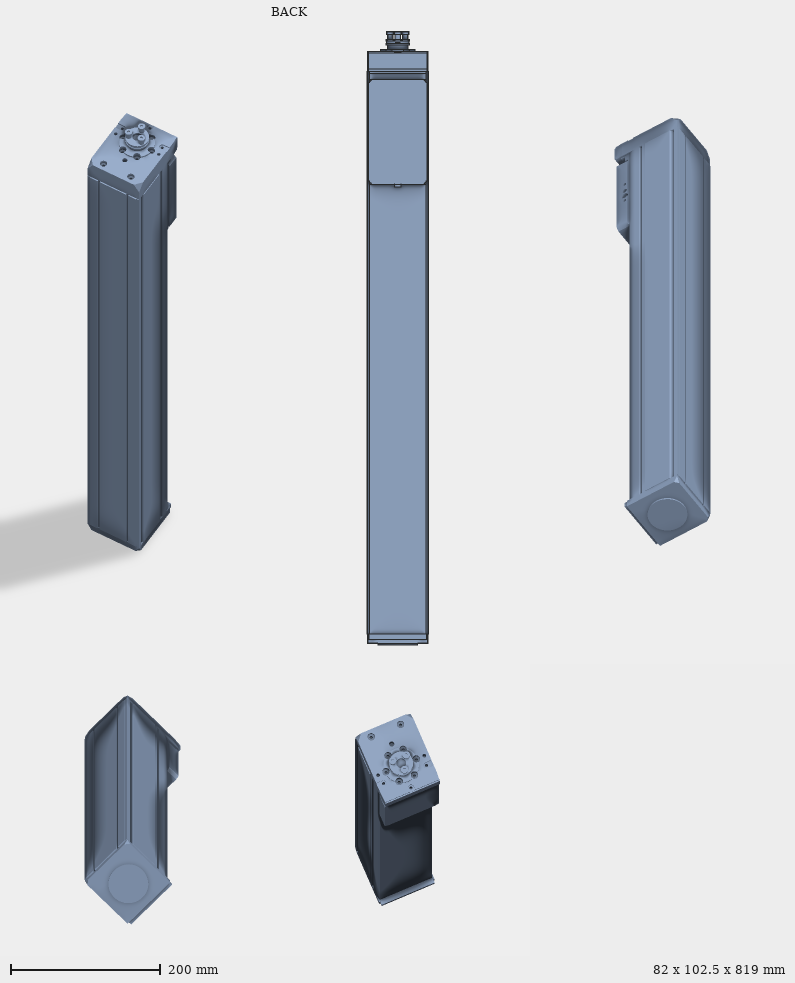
import cadquery as cq
import math

TOTAL_WIDTH = 82.0
TOTAL_DEPTH = 102.5
TOTAL_HEIGHT = 819.0
HALF_WIDTH = TOTAL_WIDTH / 2

FOOT_PAD_HEIGHT = 2.5
PROFILE_BOTTOM = 15.0
PROFILE_TOP = 766.0
CAP_TOP = 793.0
PROFILE_HEIGHT = PROFILE_TOP - PROFILE_BOTTOM
CAP_HEIGHT = CAP_TOP - PROFILE_TOP

CAP_INSET = 1.0
CAP_HALF_WIDTH = HALF_WIDTH - CAP_INSET
CAP_FRONT_Y = 2.0
TOP_CORNER_CUT = (8.0, 10.0, 11.5)
BOTTOM_CORNER_CUT = (6.0, 5.0, 10.0)

PROFILE_DEPTH = 79.5
REAR_CURVE_DEPTH = 10.0
REAR_CURVE_ANGLE = math.radians(30)
SIDE_SLOT_Y = 60.0
SIDE_SLOT_WIDTH = 5.0
SIDE_SLOT_DEPTH = 4.0
PANEL_FRONT_Y = 13.0
PANEL_BACK_Y = 52.5
SIDE_RECESS = 1.0
NOTCH_FRONT_Y = 6.5
NOTCH_BOTTOM_Y = 8.0
NOTCH_DEPTH = 4.0
FRONT_GROOVE_X = 22.0
FRONT_GROOVE_WIDTH = 3.0
FRONT_GROOVE_DEPTH = 2.5
FRONT_EDGE_X = 36.0
FRONT_EDGE_STEP = 1.0

COVER_THICKNESS = 2.0
CAP_DEPTH = TOTAL_DEPTH - COVER_THICKNESS
CAP_TAPER_Y = 89.0
CAP_TAPER = 1.0
CAP_LIP_BOTTOM = 764.0
CAP_LIP_BACK_Y = 93.0
COVER_BOTTOM = 769.5
COVER_TOP = 791.0
FRONT_SCREW_X = 21.0
FRONT_SCREW_Y = 11.5
SCREW_HEAD_DIAMETER = 10.0
SCREW_HOLE_DIAMETER = 4.0
SCREW_HEAD_DEPTH = 5.0
SCREW_HOLE_DEPTH = 12.0
CENTRE_HOLE_Y = 31.0
CENTRE_HOLE_DIAMETER = 7.0
SIDE_HOLE_X = 34.0
SIDE_HOLE_DIAMETER = 5.0
POCKET_WIDTH = 8.0
POCKET_DEPTH = 2.0
SIDE_POCKET_Y = 76.0
SIDE_POCKET_LENGTH = 13.0
BACK_POCKET_LENGTH = 9.0

CONNECTOR_Y = 63.0
FLANGE_DIAMETER = 47.5
FLANGE_TOP = 796.0
NECK_DIAMETER = 28.0
COLLAR_BOTTOM = 801.0
COLLAR_TOP = 809.0
COLLAR_DIAMETER = 32.0
COLLAR_GROOVE_WIDTH = 3.0
COLLAR_GROOVE_DEPTH = 1.0
BORE_DIAMETER = 13.0
BORE_DEPTH = 4.0
FLANGE_SCREW_COUNT = 6
FLANGE_SCREW_RADIUS = 22.0

PIN_COUNT = 3
PIN_CIRCLE_RADIUS = 11.5
PIN_HEAD_DIAMETER = 10.0
PIN_HEAD_HEIGHT = 4.0
PIN_SHANK_DIAMETER = 7.0
PIN_SEAT_DEPTH = 4.0
PIN_SOCKET_DIAMETER = 4.0
PIN_SOCKET_DEPTH = 2.5

LUG_BACK_Y = 87.0
LUG_BOTTOM = 7.0
LUG_WIDTH = 77.0
BOTTOM_CAP_BACK_Y = 82.0
FOOT_PAD_Y = 43.5
FOOT_PAD_DIAMETER = 53.0

BOX_WIDTH = 79.0
BOX_FRONT_Y = 82.0
BOX_BACK_Y = 99.0
BOX_BOTTOM = 615.0
BOX_TOP = 755.5
BOX_CHAMFER = 5.0
BOX_BASE_WIDTH = 75.0
BOX_TONGUE_BACK_Y = 87.0
BOX_HOLE_Y = 86.0
BOX_HOLE_DEPTH = 3.0
BOX_HOLES = [(703.0, 5.0), (689.0, 7.0), (678.5, 9.0), (669.0, 5.0)]
PLUG_Y = 91.0
PLUG_DIAMETER = 9.0
PLUG_LENGTH = 3.0
PLUG_SEAT_DEPTH = 4.0


def block(x_size, y_front, y_back, z_bottom, z_top):
    """Box centred on X between the given Y and Z limits."""
    return (
        cq.Workplane("XY")
        .box(x_size, y_back - y_front, z_top - z_bottom, centered=(True, False, False))
        .translate((0, y_front, z_bottom))
    )


def cylinder(diameter, x, y, z_bottom, z_top):
    """Upright round bar."""
    return (
        cq.Workplane("XY")
        .center(x, y)
        .circle(diameter / 2)
        .extrude(z_top - z_bottom)
        .translate((0, 0, z_bottom))
    )


def circle_points(radius, count, start_angle):
    """Evenly spaced points around the connector axis."""
    points = []
    for index in range(count):
        angle = math.radians(start_angle + index * 360 / count)
        points.append((radius * math.cos(angle), CONNECTOR_Y + radius * math.sin(angle)))
    return points


def screw_hole(x, y):
    """Counterbored screw hole sunk from the top of the cap."""
    head = cylinder(SCREW_HEAD_DIAMETER, x, y, CAP_TOP - SCREW_HEAD_DEPTH, CAP_TOP)
    shank = cylinder(SCREW_HOLE_DIAMETER, x, y, CAP_TOP - SCREW_HOLE_DEPTH, CAP_TOP)
    return head.union(shank)


def corner_wedge(side, z_corner, z_direction, cut_size):
    """Tetrahedron that cuts the front corner of a cap on one side."""
    cut_x, cut_y, cut_z = cut_size
    corner = cq.Vector(side * CAP_HALF_WIDTH, CAP_FRONT_Y, z_corner)
    along_x = corner + cq.Vector(-side * cut_x, 0, 0)
    along_y = corner + cq.Vector(0, cut_y, 0)
    along_z = corner + cq.Vector(0, 0, z_direction * cut_z)
    triangles = [
        (corner, along_x, along_y),
        (corner, along_y, along_z),
        (corner, along_z, along_x),
        (along_x, along_y, along_z),
    ]
    faces = [cq.Face.makeFromWires(cq.Wire.makePolygon(points, close=True)) for points in triangles]
    return cq.Workplane(obj=cq.Solid.makeSolid(cq.Shell.makeShell(faces)))


def make_profile():
    """Extrusion with curved rear corners, stepped sides and full-length grooves."""
    curve_radius = REAR_CURVE_DEPTH / math.sin(REAR_CURVE_ANGLE)
    half_angle = REAR_CURVE_ANGLE / 2
    outer_x = HALF_WIDTH
    recessed_x = HALF_WIDTH - SIDE_RECESS
    curve_start_y = PROFILE_DEPTH - REAR_CURVE_DEPTH
    curve_middle = (
        recessed_x - curve_radius * (1 - math.cos(half_angle)),
        curve_start_y + curve_radius * math.sin(half_angle),
    )
    curve_end_x = recessed_x - curve_radius * (1 - math.cos(REAR_CURVE_ANGLE))
    half = (
        cq.Workplane("XY")
        .moveTo(0, 0)
        .lineTo(FRONT_EDGE_X, 0)
        .lineTo(FRONT_EDGE_X, FRONT_EDGE_STEP)
        .lineTo(recessed_x, FRONT_EDGE_STEP)
        .lineTo(recessed_x, NOTCH_FRONT_Y)
        .lineTo(recessed_x - NOTCH_DEPTH, NOTCH_BOTTOM_Y)
        .lineTo(outer_x, PANEL_FRONT_Y)
        .lineTo(outer_x, PANEL_BACK_Y)
        .lineTo(recessed_x, PANEL_BACK_Y)
        .lineTo(recessed_x, SIDE_SLOT_Y - SIDE_SLOT_WIDTH / 2)
        .lineTo(recessed_x - SIDE_SLOT_DEPTH, SIDE_SLOT_Y)
        .lineTo(recessed_x, SIDE_SLOT_Y + SIDE_SLOT_WIDTH / 2)
        .lineTo(recessed_x, curve_start_y)
        .threePointArc(curve_middle, (curve_end_x, PROFILE_DEPTH))
        .lineTo(0, PROFILE_DEPTH)
        .close()
        .extrude(PROFILE_HEIGHT)
        .translate((0, 0, PROFILE_BOTTOM))
    )
    profile = half.union(half.mirror("YZ"))
    groove = block(FRONT_GROOVE_WIDTH, 0, FRONT_GROOVE_DEPTH, PROFILE_BOTTOM, PROFILE_TOP)
    for side in (-1, 1):
        profile = profile.cut(groove.translate((side * FRONT_GROOVE_X, 0, 0)))
    return profile


def edge_pocket(length):
    """Shallow round-ended pocket with a screw hole, running from the origin along +X."""
    end_x = length - POCKET_WIDTH / 2
    pocket = (
        cq.Workplane("XY")
        .moveTo(0, -POCKET_WIDTH / 2)
        .lineTo(end_x, -POCKET_WIDTH / 2)
        .threePointArc((length, 0), (end_x, POCKET_WIDTH / 2))
        .lineTo(0, POCKET_WIDTH / 2)
        .close()
        .extrude(-POCKET_DEPTH)
    )
    hole = cylinder(SCREW_HOLE_DIAMETER, end_x, 0, -SCREW_HOLE_DEPTH, 0)
    return pocket.union(hole)


def make_top_cap():
    """Block over the profile end, overhanging it at the back."""
    back_x = CAP_HALF_WIDTH - CAP_TAPER
    cap = (
        cq.Workplane("XY")
        .polyline([
            (-CAP_HALF_WIDTH, CAP_FRONT_Y),
            (CAP_HALF_WIDTH, CAP_FRONT_Y),
            (CAP_HALF_WIDTH, CAP_TAPER_Y),
            (back_x, CAP_DEPTH),
            (-back_x, CAP_DEPTH),
            (-CAP_HALF_WIDTH, CAP_TAPER_Y),
        ])
        .close()
        .extrude(CAP_HEIGHT)
        .translate((0, 0, PROFILE_TOP))
    )
    cap = cap.union(block(BOX_BASE_WIDTH, PROFILE_DEPTH, CAP_LIP_BACK_Y, CAP_LIP_BOTTOM, PROFILE_TOP))
    side_pocket = edge_pocket(SIDE_POCKET_LENGTH).translate((-CAP_HALF_WIDTH, SIDE_POCKET_Y, CAP_TOP))
    back_pocket = edge_pocket(BACK_POCKET_LENGTH).rotate((0, 0, 0), (0, 0, 1), -90)
    cap = cap.cut(side_pocket).cut(side_pocket.mirror("YZ"))
    cap = cap.cut(back_pocket.translate((0, CAP_DEPTH, CAP_TOP)))
    for side in (-1, 1):
        cap = cap.cut(corner_wedge(side, CAP_TOP, -1, TOP_CORNER_CUT))
        cap = cap.cut(screw_hole(side * FRONT_SCREW_X, FRONT_SCREW_Y))
        side_hole = cylinder(
            SIDE_HOLE_DIAMETER, side * SIDE_HOLE_X, CONNECTOR_Y, CAP_TOP - SCREW_HOLE_DEPTH, CAP_TOP
        )
        cap = cap.cut(side_hole)
    for x, y in circle_points(FLANGE_SCREW_RADIUS, FLANGE_SCREW_COUNT, 0):
        cap = cap.cut(screw_hole(x, y))
    return cap.cut(
        cylinder(CENTRE_HOLE_DIAMETER, 0, CENTRE_HOLE_Y, CAP_TOP - SCREW_HOLE_DEPTH, CAP_TOP)
    )


def make_rear_cover():
    """Flat plate on the back of the top cap."""
    return block(2 * (CAP_HALF_WIDTH - CAP_TAPER), CAP_DEPTH, TOTAL_DEPTH, COVER_BOTTOM, COVER_TOP)


def make_bottom_cap():
    """End plate with a rear lug and a round foot pad."""
    cap = block(2 * CAP_HALF_WIDTH, CAP_FRONT_Y, BOTTOM_CAP_BACK_Y, FOOT_PAD_HEIGHT, PROFILE_BOTTOM)
    for side in (-1, 1):
        cap = cap.cut(corner_wedge(side, FOOT_PAD_HEIGHT, 1, BOTTOM_CORNER_CUT))
    cap = cap.union(block(LUG_WIDTH, BOTTOM_CAP_BACK_Y, LUG_BACK_Y, LUG_BOTTOM, PROFILE_BOTTOM))
    return cap.union(cylinder(FOOT_PAD_DIAMETER, 0, FOOT_PAD_Y, 0, FOOT_PAD_HEIGHT))


def make_connector():
    """Flanged neck with a grooved collar, relieved around the screws and drilled for the pins."""
    flange = cylinder(FLANGE_DIAMETER, 0, CONNECTOR_Y, CAP_TOP, FLANGE_TOP)
    neck = cylinder(NECK_DIAMETER, 0, CONNECTOR_Y, CAP_TOP, COLLAR_BOTTOM)
    collar = cylinder(COLLAR_DIAMETER, 0, CONNECTOR_Y, COLLAR_BOTTOM, COLLAR_TOP)
    groove_bottom = (COLLAR_BOTTOM + COLLAR_TOP - COLLAR_GROOVE_WIDTH) / 2
    groove_top = groove_bottom + COLLAR_GROOVE_WIDTH
    groove_root_diameter = COLLAR_DIAMETER - 2 * COLLAR_GROOVE_DEPTH
    groove = cylinder(COLLAR_DIAMETER, 0, CONNECTOR_Y, groove_bottom, groove_top)
    groove = groove.cut(cylinder(groove_root_diameter, 0, CONNECTOR_Y, groove_bottom, groove_top))
    connector = flange.union(neck).union(collar.cut(groove))
    connector = connector.cut(
        cylinder(BORE_DIAMETER, 0, CONNECTOR_Y, COLLAR_TOP - BORE_DEPTH, COLLAR_TOP)
    )
    for x, y in circle_points(FLANGE_SCREW_RADIUS, FLANGE_SCREW_COUNT, 0):
        connector = connector.cut(cylinder(SCREW_HEAD_DIAMETER, x, y, CAP_TOP, FLANGE_TOP))
    for x, y in circle_points(PIN_CIRCLE_RADIUS, PIN_COUNT, 90):
        seat = cylinder(PIN_SHANK_DIAMETER, x, y, COLLAR_TOP - PIN_SEAT_DEPTH, COLLAR_TOP)
        connector = connector.cut(seat)
    return connector


def make_pin(x, y):
    """Headed pin with a socket in its end, seated in the connector collar."""
    head_bottom = TOTAL_HEIGHT - PIN_HEAD_HEIGHT
    shank = cylinder(PIN_SHANK_DIAMETER, x, y, COLLAR_TOP - PIN_SEAT_DEPTH, head_bottom)
    head = cylinder(PIN_HEAD_DIAMETER, x, y, head_bottom, TOTAL_HEIGHT)
    socket = cylinder(PIN_SOCKET_DIAMETER, x, y, TOTAL_HEIGHT - PIN_SOCKET_DEPTH, TOTAL_HEIGHT)
    return shank.union(head).cut(socket)


def make_plug():
    """Short round plug let into the underside of the control box."""
    return cylinder(PLUG_DIAMETER, 0, PLUG_Y, BOX_BOTTOM - PLUG_LENGTH, BOX_BOTTOM + PLUG_SEAT_DEPTH)


def make_control_box():
    """Box on a thin base, with chamfered ends and a tongue up to the top cap."""
    box = block(BOX_WIDTH, BOX_FRONT_Y, BOX_BACK_Y, BOX_BOTTOM, BOX_TOP)
    box = box.faces("<Z or >Z").edges("|Y").chamfer(BOX_CHAMFER)
    base = block(BOX_BASE_WIDTH, PROFILE_DEPTH, BOX_FRONT_Y, BOX_BOTTOM, BOX_TOP)
    tongue = block(BOX_BASE_WIDTH, PROFILE_DEPTH, BOX_TONGUE_BACK_Y, BOX_TOP, CAP_LIP_BOTTOM)
    box = box.union(base).union(tongue)
    for z, diameter in BOX_HOLES:
        hole = (
            cq.Workplane("YZ", origin=(-BOX_WIDTH / 2, BOX_HOLE_Y, z))
            .circle(diameter / 2)
            .extrude(BOX_HOLE_DEPTH)
        )
        box = box.cut(hole)
    return box.cut(make_plug())


profile = make_profile()
top_cap = make_top_cap()
rear_cover = make_rear_cover()
bottom_cap = make_bottom_cap()
connector = make_connector()
pins = [make_pin(x, y) for x, y in circle_points(PIN_CIRCLE_RADIUS, PIN_COUNT, 90)]
control_box = make_control_box()
plug = make_plug()

result = cq.Compound.makeCompound([
    profile.val(),
    top_cap.val(),
    rear_cover.val(),
    bottom_cap.val(),
    connector.val(),
    *[pin.val() for pin in pins],
    control_box.val(),
    plug.val(),
])